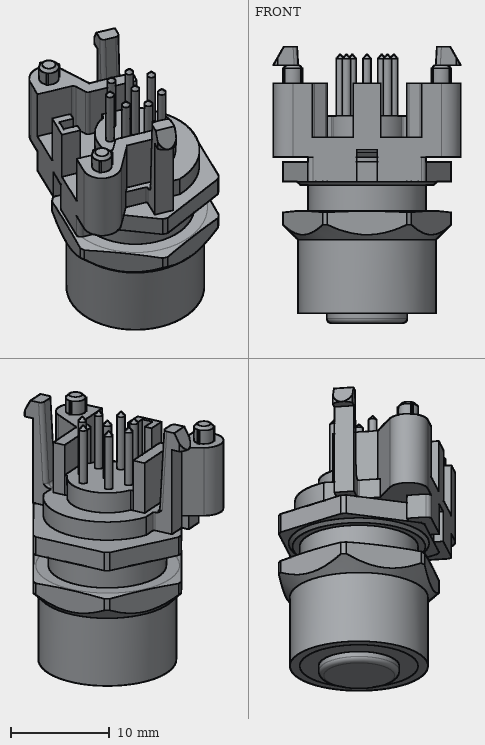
import cadquery as cq
import math

SLEEVE_BOTTOM = 1.0
NUT_BOTTOM = 8.45
NUT_TOP = 11.37
SEAL_BOTTOM = 13.97
FLANGE_BOTTOM = 14.35
FLANGE_TOP = 16.32
PLATE_BOTTOM = 16.83
PLATE_TOP = 18.82
INSERT_TOP = 21.0
TOWER_TOP = 24.3
HOOK_BOTTOM = 26.1
PEG_TOP = 26.12
PIN_TOP = 27.25
OVERALL_TOP = 28.0

HEX_FLATS = 15.0
HEX_CORNER_RADIUS = 8.5
NECK_RADIUS = 6.0
SEAL_TOP_RADIUS = 7.1
SEAL_BOTTOM_RADIUS = 6.72
SLEEVE_RADIUS = 7.0
NUT_FACE_RADIUS = 7.28
NUT_FACE_DROP = 0.15
INSERT_RADIUS = 4.1
INSERT_NOSE_FILLET = 0.5
EAR_FRONT_Y = -2.1
EAR_FILLET = 0.22

PIN_RADIUS = 0.42
PIN_TIP_HEIGHT = 0.48
PIN_CIRCLE_RADIUS = 2.75
PIN_STEP_ANGLE = 49.0
RING_PIN_COUNT = 7

CARRIER_WIDTH = 19.0
FRONT_Y = -8.48
PLATE_HALF_WIDTH = 6.0
PLATE_BACK_RADIUS = 6.5
FOOT_BACK_Y = -6.05
FOOT_CORNER_RADIUS = 0.5

WALL_INNER_X = 4.0
WALL_OUTER_X = 5.35
WALL_BACK_Y = 1.7
WALL_BEND_Y = -3.67
WALL_SLANT = math.radians(30)
WALL_BEND_FILLET = 0.45
TOWER_RADIUS = 2.0
TOWER_INNER_X = 5.55
TOWER_X = CARRIER_WIDTH / 2 - TOWER_RADIUS
TOWER_Y = FRONT_Y + TOWER_RADIUS

PEG_RADIUS = 1.0
PEG_CHAMFER = 0.35
PEG_RIB_RADIUS = 1.12
PEG_RIB_WIDTH = 0.22
PEG_RIB_COUNT = 3

TAB_WIDTH = 2.8
TAB_DEPTH = 2.0
TAB_SLOT_WIDTH = 1.2
TAB_FRONT_WALL = 0.48
WINDOW_WIDTH = 2.1
WINDOW_TOP = 17.55
WINDOW_STEP = 17.3

ARM_WIDTH = 2.02
ARM_OUTER_X = 8.15
ARM_INNER_TOP_X = 7.05
ARM_INNER_ROOT_X = 6.52
ARM_ROOT_FILLET = 0.45
ARM_EDGE_FILLET = 0.45
ARM_WEB_FILLET = 0.15
HOOK_TOP_X = 8.43
HOOK_TIP_X = CARRIER_WIDTH / 2
HOOK_NOSE_DEPTH = 0.48


def cylinder(radius, bottom, top):
    return cq.Workplane("XY").workplane(offset=bottom).circle(radius).extrude(top - bottom)


def block(x_min, x_max, y_min, y_max, z_min, z_max):
    size = (x_max - x_min, y_max - y_min, z_max - z_min)
    return cq.Workplane("XY").box(*size, centered=False).translate((x_min, y_min, z_min))


def hexagon(bottom, top):
    """Hexagonal prism with two corners on the X axis."""
    corner_diameter = HEX_FLATS / math.cos(math.radians(30))
    return cq.Workplane("XY").workplane(offset=bottom).polygon(6, corner_diameter).extrude(top - bottom)


def revolved(points):
    """Solid of revolution about Z from (radius, z) points."""
    return cq.Workplane("XZ").polyline(points).close().revolve(360, (0, 0), (0, 1))


def mirrored_pair(shape):
    return shape.union(shape.mirror("YZ"))


def make_flange():
    return hexagon(FLANGE_BOTTOM, FLANGE_TOP).intersect(
        cylinder(HEX_CORNER_RADIUS, FLANGE_BOTTOM, FLANGE_TOP)
    )


def make_housing():
    neck = cylinder(NECK_RADIUS, SLEEVE_BOTTOM, FLANGE_BOTTOM)
    bore = cylinder(INSERT_RADIUS, SLEEVE_BOTTOM, FLANGE_TOP)
    return make_flange().union(neck).cut(bore)


def make_seal():
    return revolved([
        (NECK_RADIUS, SEAL_BOTTOM),
        (SEAL_BOTTOM_RADIUS, SEAL_BOTTOM),
        (SEAL_TOP_RADIUS, FLANGE_BOTTOM),
        (NECK_RADIUS, FLANGE_BOTTOM),
    ])


def make_nut():
    lower_cone_top = NUT_BOTTOM + HEX_CORNER_RADIUS - SLEEVE_RADIUS
    turning = revolved([
        (0, NUT_BOTTOM),
        (SLEEVE_RADIUS, NUT_BOTTOM),
        (HEX_CORNER_RADIUS, lower_cone_top),
        (HEX_CORNER_RADIUS, NUT_TOP - NUT_FACE_DROP),
        (NUT_FACE_RADIUS, NUT_TOP),
        (0, NUT_TOP),
    ])
    head = hexagon(NUT_BOTTOM, NUT_TOP).intersect(turning)
    sleeve = cylinder(SLEEVE_RADIUS, SLEEVE_BOTTOM, NUT_BOTTOM)
    return head.union(sleeve).cut(cylinder(NECK_RADIUS, SLEEVE_BOTTOM, NUT_TOP))


def make_pin(x, y):
    shoulder = PIN_TOP - PIN_TIP_HEIGHT
    pin = revolved([
        (0, PLATE_TOP),
        (PIN_RADIUS, PLATE_TOP),
        (PIN_RADIUS, shoulder),
        (0, PIN_TOP),
    ])
    return pin.translate((x, y, 0))


def pin_positions():
    """One pin on the axis and a ring of pins placed symmetrically about -Y."""
    positions = [(0, 0)]
    for index in range(RING_PIN_COUNT):
        angle = math.radians(-90 + PIN_STEP_ANGLE * (index - RING_PIN_COUNT // 2))
        positions.append((PIN_CIRCLE_RADIUS * math.cos(angle), PIN_CIRCLE_RADIUS * math.sin(angle)))
    return positions


def make_insert():
    core = cylinder(INSERT_RADIUS, 0, PLATE_TOP).faces("<Z").edges().fillet(INSERT_NOSE_FILLET)
    ears = block(-WALL_INNER_X, WALL_INNER_X, EAR_FRONT_Y, WALL_BACK_Y, PLATE_TOP, INSERT_TOP)
    between_walls = block(
        -WALL_INNER_X, WALL_INNER_X, -INSERT_RADIUS, INSERT_RADIUS, PLATE_TOP, INSERT_TOP
    )
    head = cylinder(INSERT_RADIUS, PLATE_TOP, INSERT_TOP).intersect(between_walls).union(ears)
    ear_corner_x = math.sqrt(INSERT_RADIUS**2 - EAR_FRONT_Y**2)
    for x in (-ear_corner_x, ear_corner_x):
        corner = cq.selectors.NearestToPointSelector((x, EAR_FRONT_Y, (PLATE_TOP + INSERT_TOP) / 2))
        head = head.edges(corner).fillet(EAR_FILLET)
    insert = core.union(head)
    for x, y in pin_positions():
        insert = insert.union(make_pin(x, y))
    return insert


def make_plate():
    back = cylinder(PLATE_BACK_RADIUS, PLATE_BOTTOM, PLATE_TOP).intersect(block(
        -PLATE_HALF_WIDTH, PLATE_HALF_WIDTH, 0, PLATE_BACK_RADIUS, PLATE_BOTTOM, PLATE_TOP
    ))
    front = block(-PLATE_HALF_WIDTH, PLATE_HALF_WIDTH, FRONT_Y, 0, PLATE_BOTTOM, PLATE_TOP)
    return back.union(front)


def make_foot():
    """Block that hangs from the plate in front of the housing flange."""
    foot = block(
        -PLATE_HALF_WIDTH, PLATE_HALF_WIDTH, FRONT_Y, FOOT_BACK_Y, FLANGE_BOTTOM, PLATE_BOTTOM
    )
    return foot.faces("<Y").edges("|Z").fillet(FOOT_CORNER_RADIUS)


def make_wall():
    """Right-hand wall: straight at the back, slanted outwards to the round tower."""
    tangent_x = TOWER_X + TOWER_RADIUS * math.sin(WALL_SLANT)
    tangent_y = TOWER_Y + TOWER_RADIUS * math.cos(WALL_SLANT)
    outer_bend_y = tangent_y + (tangent_x - WALL_OUTER_X) * math.tan(WALL_SLANT)
    inner_bend_y = WALL_BEND_Y - (TOWER_INNER_X - WALL_INNER_X) * math.tan(WALL_SLANT)
    wall = (
        cq.Workplane("XY")
        .workplane(offset=PLATE_BOTTOM)
        .moveTo(WALL_INNER_X, WALL_BACK_Y)
        .lineTo(WALL_OUTER_X, WALL_BACK_Y)
        .lineTo(WALL_OUTER_X, outer_bend_y)
        .lineTo(tangent_x, tangent_y)
        .threePointArc((TOWER_X + TOWER_RADIUS, TOWER_Y), (TOWER_X, FRONT_Y))
        .lineTo(TOWER_INNER_X, FRONT_Y)
        .lineTo(TOWER_INNER_X, inner_bend_y)
        .lineTo(WALL_INNER_X, WALL_BEND_Y)
        .close()
        .extrude(TOWER_TOP - PLATE_BOTTOM)
    )
    for x, y in [(TOWER_INNER_X, inner_bend_y), (WALL_INNER_X, WALL_BEND_Y)]:
        bend = cq.selectors.NearestToPointSelector((x, y, (PLATE_BOTTOM + TOWER_TOP) / 2))
        wall = wall.edges(bend).fillet(WALL_BEND_FILLET)
    return wall


def make_peg():
    """Round locating peg with narrow crush ribs, centred on Z."""
    peg = cylinder(PEG_RADIUS, TOWER_TOP, PEG_TOP).faces(">Z").edges().chamfer(PEG_CHAMFER)
    rib = block(
        0, PEG_RIB_RADIUS, -PEG_RIB_WIDTH / 2, PEG_RIB_WIDTH / 2, TOWER_TOP, PEG_TOP - PEG_CHAMFER
    )
    for index in range(PEG_RIB_COUNT):
        angle = 90 + index * 360 / PEG_RIB_COUNT
        peg = peg.union(rib.rotate((0, 0, 0), (0, 0, 1), angle))
    return peg


def make_snap_arm():
    """Right-hand arm: web on the plate edge, tapered blade and round-nosed hook."""
    half_width = ARM_WIDTH / 2
    arm = (
        cq.Workplane("XZ")
        .workplane(offset=-half_width)
        .moveTo(ARM_INNER_ROOT_X, PLATE_BOTTOM)
        .lineTo(ARM_OUTER_X, PLATE_BOTTOM)
        .lineTo(ARM_OUTER_X, HOOK_BOTTOM)
        .lineTo(HOOK_TIP_X, HOOK_BOTTOM)
        .lineTo(HOOK_TOP_X, OVERALL_TOP)
        .lineTo(ARM_INNER_TOP_X, OVERALL_TOP)
        .lineTo(ARM_INNER_ROOT_X, PLATE_TOP)
        .close()
        .extrude(ARM_WIDTH)
    )
    inner_edge_x = (ARM_INNER_TOP_X + ARM_INNER_ROOT_X) / 2
    inner_edge_z = (PLATE_TOP + OVERALL_TOP) / 2
    for y in (-half_width, half_width):
        inner_edge = cq.selectors.NearestToPointSelector((inner_edge_x, y, inner_edge_z))
        arm = arm.edges(inner_edge).fillet(ARM_EDGE_FILLET)
    hook_side_x = HOOK_TIP_X - HOOK_NOSE_DEPTH
    rounded_nose = (
        cq.Workplane("XY")
        .workplane(offset=PLATE_BOTTOM)
        .moveTo(0, -half_width)
        .lineTo(hook_side_x, -half_width)
        .threePointArc((HOOK_TIP_X, 0), (hook_side_x, half_width))
        .lineTo(0, half_width)
        .close()
        .extrude(OVERALL_TOP - PLATE_BOTTOM)
    )
    web = block(
        PLATE_HALF_WIDTH, ARM_OUTER_X, -half_width, half_width, PLATE_BOTTOM, PLATE_TOP
    )
    arm = arm.intersect(rounded_nose).union(web)
    root_edge = cq.selectors.NearestToPointSelector((ARM_INNER_ROOT_X, 0, PLATE_TOP))
    return arm.edges(root_edge).fillet(ARM_ROOT_FILLET)


def make_tab():
    """Upright tab at the middle of the front edge."""
    return block(
        -TAB_WIDTH / 2, TAB_WIDTH / 2, FRONT_Y, FRONT_Y + TAB_DEPTH, PLATE_TOP, TOWER_TOP
    )


def make_tab_slot():
    """Vertical slot in the back of the tab, open down through the plate."""
    return block(
        -TAB_SLOT_WIDTH / 2, TAB_SLOT_WIDTH / 2,
        FRONT_Y + TAB_FRONT_WALL, FRONT_Y + TAB_DEPTH,
        PLATE_BOTTOM, TOWER_TOP,
    )


def make_window():
    """Opening through the foot, with a roof recess that slopes down at the back."""
    recess_y = FRONT_Y + TAB_DEPTH
    slope_end_y = recess_y + WINDOW_STEP - PLATE_BOTTOM
    return (
        cq.Workplane("YZ")
        .workplane(offset=-WINDOW_WIDTH / 2)
        .moveTo(FRONT_Y, FLANGE_BOTTOM)
        .lineTo(FRONT_Y, WINDOW_TOP)
        .lineTo(recess_y, WINDOW_TOP)
        .lineTo(recess_y, WINDOW_STEP)
        .lineTo(slope_end_y, PLATE_BOTTOM)
        .lineTo(slope_end_y, FLANGE_BOTTOM)
        .close()
        .extrude(WINDOW_WIDTH)
    )


def make_carrier():
    carrier = make_plate().union(mirrored_pair(make_snap_arm()))
    web_corners = cq.selectors.BoxSelector(
        (-PLATE_HALF_WIDTH - ARM_WEB_FILLET, -ARM_WIDTH, PLATE_BOTTOM),
        (PLATE_HALF_WIDTH + ARM_WEB_FILLET, ARM_WIDTH, PLATE_TOP),
    )
    carrier = carrier.edges("|Z").edges(web_corners).fillet(ARM_WEB_FILLET)
    carrier = carrier.union(make_foot()).union(mirrored_pair(make_wall())).union(make_tab())
    for side in (-1, 1):
        carrier = carrier.union(make_peg().translate((side * TOWER_X, TOWER_Y, 0)))
    carrier = carrier.cut(make_tab_slot()).cut(make_window())
    return carrier.cut(make_flange()).cut(cylinder(INSERT_RADIUS, PLATE_BOTTOM, PLATE_TOP))


housing = make_housing()
seal = make_seal()
nut = make_nut()
insert = make_insert()
carrier = make_carrier()

result = cq.Compound.makeCompound([
    housing.val(),
    seal.val(),
    nut.val(),
    insert.val(),
    carrier.val(),
])